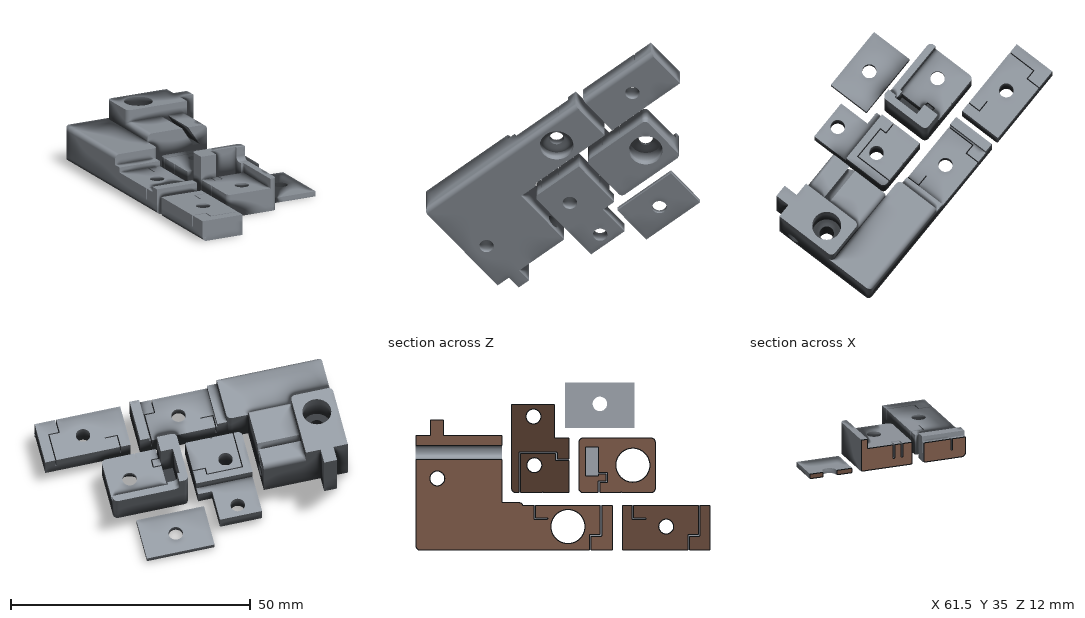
import cadquery as cq
import math

EDGE_RADIUS = 1.0
HOLE_DIA = 3.0
LOWER_BORE_DIA = 7.0
GROOVE_WIDTH = 0.25
GROOVE_FLOOR = 1.95
RAIL_TOP = 4.4
RAIL_DEPTH = 9.5
RAIL_PITCH = 20.5
CUT_MARGIN = 0.6

LOW_LENGTH = 22.45
LOW_DEPTH = 10.0
LOW_TOP = 7.75
BASE_BACK = 24.05
TOWER_LENGTH = 9.0
TOWER_TOP = 12.0
TAB_START = 3.1
TAB_LENGTH = 2.75
TAB_BACK = 27.25
STEP_LENGTH = 18.0
STEP_TOP = 9.5
STEP_BACK_RADIUS = 1.1
BORE_X = 4.5
BORE_Y = 15.0
BORE_DIA = 6.0
BORE_DEPTH = 6.15
CROSS_HOLE_DIA = 2.8
CROSS_HOLE_Y = 20.4
CROSS_HOLE_Z = 2.5
SLOT_FRONT = 18.15
SLOT_OPENING = 1.5
SLOT_DEPTH = 4.0
SLOT_SLANT = 33.0
BASE_LENGTH = 41.0
LIP_LENGTH = 2.0
LIP_TOP = 5.55
RAIL_HOLE_X = 31.75
RAIL_HOLE_Y = 5.0
SEAT_WEB = 1.7

RAIL_START = 43.05
RAIL_END = 61.4
NUB_END = 61.5
NUB_SIZE = 0.75

CLAMP_FRONT = 12.0
CLAMP_BACK = 23.5
CLAMP_TOP = 5.0
LEDGE_Y = 22.0
CLAMP_HOLE_Y = 17.8
NOTCH_DEPTH = 0.2

STEPPED_START = 19.9
STEPPED_END = 32.0
EAR_END = 28.95
EAR_BACK = 30.5
EAR_TOP = 2.95
EAR_HOLE_X = 24.55
EAR_HOLE_Y = 27.9
STEPPED_HOLE_X = 24.7
STEPPED_NOTCH_X = 26.45

WALLED_START = 33.95
WALLED_END = 50.0
WALL_TOP = 9.95
WALL_THICKNESS = 1.55
FOOT_END = 38.05
FOOT_BACK = 15.55
POCKET_BACK = 21.45
SHOULDER_END = 36.0
COVE_RADIUS = 1.0
LEDGE_TOP = 7.1
WALLED_HOLE_X = 45.25
WALLED_WEB = 0.6
WALLED_NOTCH_X = 42.85

COVER_START = 31.2
COVER_LENGTH = 14.5
COVER_BACK = 35.0
COVER_DEPTH = 9.5
COVER_THICKNESS = 1.1
COVER_HOLE_X = 38.45
COVER_HOLE_Y = 30.5


def block(x0, x1, y0, y1, z0, z1):
    return cq.Workplane("XY").box(x1 - x0, y1 - y0, z1 - z0, centered=False).translate((x0, y0, z0))


def vertical_hole(x, y, diameter, bottom, top):
    return cq.Workplane("XY").workplane(offset=bottom).center(x, y).circle(diameter / 2).extrude(top - bottom)


def through_hole(x, y):
    return vertical_hole(x, y, HOLE_DIA, -CUT_MARGIN, TOWER_TOP + CUT_MARGIN)


def groove(path, top):
    """Cutter that follows straight runs along X and Y, with rounded ends and bends."""
    half = GROOVE_WIDTH / 2
    cutter = vertical_hole(*path[0], GROOVE_WIDTH, GROOVE_FLOOR, top)
    for (xa, ya), (xb, yb) in zip(path, path[1:]):
        side_y = half if ya == yb else 0
        side_x = half - side_y
        x0, x1 = sorted((xa, xb))
        y0, y1 = sorted((ya, yb))
        run = block(x0 - side_x, x1 + side_x, y0 - side_y, y1 + side_y, GROOVE_FLOOR, top)
        cutter = cutter.union(run).union(vertical_hole(xb, yb, GROOVE_WIDTH, GROOVE_FLOOR, top))
    return cutter


def front_notch(x):
    """Shallow upright cutter in the front face of a clamp."""
    half = GROOVE_WIDTH / 2
    return block(x - half, x + half, CLAMP_FRONT, CLAMP_FRONT + NOTCH_DEPTH, GROOVE_FLOOR, CLAMP_TOP)


def rail_cuts(shift):
    """Screw hole and the two locating grooves of a rail, moved along X by shift."""
    back = RAIL_DEPTH
    hook_x, hook_y, hook_end = 24.8, 6.65, 27.35
    upper_x, lower_x, jog_y = 38.6, 36.4, 3.15
    hook = [(hook_x, back), (hook_x, hook_y), (hook_end, hook_y)]
    jog = [(upper_x, back), (upper_x, jog_y), (lower_x, jog_y), (lower_x, 0)]
    cuts = through_hole(RAIL_HOLE_X, RAIL_HOLE_Y)
    for path in (hook, jog):
        cuts = cuts.union(groove(path, RAIL_TOP))
    return cuts.translate((shift, 0, 0))


def make_base():
    low = block(0, LOW_LENGTH, 0, LOW_DEPTH, 0, LOW_TOP)
    low = low.edges("|Z and >X and >Y").fillet(EDGE_RADIUS)
    low = low.edges("<Y and (<Z or >Z)").fillet(EDGE_RADIUS)
    rounded_corner = block(0, BASE_LENGTH, 0, LOW_DEPTH, 0, LOW_TOP)
    low = low.intersect(rounded_corner.edges("|Z and <X and <Y").fillet(EDGE_RADIUS))

    seat_start = LOW_LENGTH - EDGE_RADIUS
    seat = block(seat_start, BASE_LENGTH, 0, RAIL_DEPTH, 0, RAIL_TOP)
    seat = seat.union(block(seat_start, LOW_LENGTH + LIP_LENGTH, 0, RAIL_DEPTH, 0, LIP_TOP))
    seat = seat.union(block(BASE_LENGTH - LIP_LENGTH, BASE_LENGTH, 0, RAIL_DEPTH, 0, LIP_TOP))
    seat = seat.edges("<Y and <Z").fillet(EDGE_RADIUS)

    tower = block(0, TOWER_LENGTH, LOW_DEPTH, BASE_BACK, 0, TOWER_TOP).edges("|Z and <Y").fillet(EDGE_RADIUS)
    tab = block(TAB_START, TAB_START + TAB_LENGTH, BASE_BACK, TAB_BACK, 0, TOWER_TOP)

    half_tower = TOWER_LENGTH / 2
    step = block(half_tower, STEP_LENGTH, LOW_DEPTH, BASE_BACK, 0, STEP_TOP)
    step = step.edges("<Y and >Z").fillet(EDGE_RADIUS)
    step = step.edges(">Y and >Z").fillet(STEP_BACK_RADIUS)
    under_tower = block(0, TOWER_LENGTH, LOW_DEPTH, BASE_BACK, 0, LOW_TOP)

    base = low.union(seat).union(under_tower).union(tower).union(step).union(tab)

    bore = vertical_hole(BORE_X, BORE_Y, BORE_DIA, TOWER_TOP - BORE_DEPTH, TOWER_TOP)
    cross_hole = cq.Workplane("YZ").center(CROSS_HOLE_Y, CROSS_HOLE_Z).circle(CROSS_HOLE_DIA / 2)
    cross_hole = cross_hole.extrude(STEP_LENGTH)
    lean = SLOT_DEPTH * math.tan(math.radians(SLOT_SLANT))
    slot_outline = [
        (SLOT_FRONT, STEP_TOP),
        (SLOT_FRONT + SLOT_OPENING, STEP_TOP),
        (SLOT_FRONT + SLOT_OPENING + lean, STEP_TOP - SLOT_DEPTH),
        (SLOT_FRONT + lean, STEP_TOP - SLOT_DEPTH),
    ]
    slot = cq.Workplane("YZ").workplane(offset=TOWER_LENGTH).polyline(slot_outline).close()
    slot = slot.extrude(STEP_LENGTH - TOWER_LENGTH)

    seat_bore = vertical_hole(RAIL_HOLE_X, RAIL_HOLE_Y, LOWER_BORE_DIA, 0, RAIL_TOP - SEAT_WEB)
    for cutter in (bore, through_hole(BORE_X, BORE_Y), cross_hole, slot, seat_bore, rail_cuts(0)):
        base = base.cut(cutter)
    return base


def make_rail():
    rail = block(RAIL_START, NUB_END, 0, RAIL_DEPTH, 0, RAIL_TOP)
    rail = rail.edges("<Y and <Z").fillet(EDGE_RADIUS)
    above_nub = block(RAIL_END, NUB_END, 0, RAIL_DEPTH, NUB_SIZE, RAIL_TOP)
    behind_nub = block(RAIL_END, NUB_END, NUB_SIZE, RAIL_DEPTH, 0, RAIL_TOP)
    return rail.cut(above_nub).cut(behind_nub).cut(rail_cuts(RAIL_PITCH))


def make_stepped_clamp():
    clamp = block(STEPPED_START, STEPPED_END, CLAMP_FRONT, LEDGE_Y, 0, CLAMP_TOP)
    clamp = clamp.edges("|Z and <X and <Y").fillet(EDGE_RADIUS)
    clamp = clamp.union(block(STEPPED_START, STEPPED_END, LEDGE_Y, CLAMP_BACK, 0, EAR_TOP))
    clamp = clamp.union(block(STEPPED_START, EAR_END, CLAMP_BACK, EAR_BACK, 0, EAR_TOP))

    left_x, upper_y, jog_x, lower_y = 21.7, 20.35, 29.35, 18.9
    path = [
        (left_x, CLAMP_FRONT),
        (left_x, upper_y),
        (jog_x, upper_y),
        (jog_x, lower_y),
        (STEPPED_END, lower_y),
    ]
    clamp = clamp.cut(groove(path, CLAMP_TOP)).cut(front_notch(STEPPED_NOTCH_X))
    clamp = clamp.cut(through_hole(STEPPED_HOLE_X, CLAMP_HOLE_Y))
    return clamp.cut(through_hole(EAR_HOLE_X, EAR_HOLE_Y))


def make_walled_clamp():
    wall_end = WALLED_START + WALL_THICKNESS
    floor = block(WALLED_START, WALLED_END, CLAMP_FRONT, CLAMP_BACK, 0, CLAMP_TOP)
    ledge = block(wall_end, WALLED_END, LEDGE_Y, CLAMP_BACK, 0, LEDGE_TOP)
    ledge_pad = block(wall_end, FOOT_END, POCKET_BACK, CLAMP_BACK, 0, LEDGE_TOP)
    wall = block(WALLED_START, wall_end, CLAMP_FRONT, CLAMP_BACK, 0, WALL_TOP)
    foot = block(WALLED_START, FOOT_END, CLAMP_FRONT, FOOT_BACK, 0, WALL_TOP)
    shoulder = block(WALLED_START, SHOULDER_END, POCKET_BACK, CLAMP_BACK, 0, WALL_TOP)
    cove_end, cove_top = SHOULDER_END + COVE_RADIUS, LEDGE_TOP + COVE_RADIUS
    cove = block(SHOULDER_END, cove_end, POCKET_BACK, CLAMP_BACK, LEDGE_TOP, cove_top)
    cove_cutter = cq.Workplane("XZ", origin=(0, CLAMP_BACK, 0)).center(cove_end, cove_top).circle(COVE_RADIUS)
    cove = cove.cut(cove_cutter.extrude(CLAMP_BACK - POCKET_BACK))

    clamp = floor
    for piece in (ledge, ledge_pad, wall, foot, shoulder, cove):
        clamp = clamp.union(piece)
    clamp = clamp.edges("|Z and (<X or >X) and (<Y or >Y)").fillet(EDGE_RADIUS)

    pocket = block(wall_end, FOOT_END, FOOT_BACK, POCKET_BACK, GROOVE_FLOOR, CLAMP_TOP)
    bore = vertical_hole(WALLED_HOLE_X, CLAMP_HOLE_Y, LOWER_BORE_DIA, 0, CLAMP_TOP - WALLED_WEB)
    groove_x = FOOT_END + GROOVE_WIDTH / 2
    loop_back, loop_x, loop_front = 16.1, 39.8, 14.3
    path = [
        (groove_x, loop_back),
        (loop_x, loop_back),
        (loop_x, loop_front),
        (groove_x, loop_front),
        (groove_x, CLAMP_FRONT),
    ]
    opening = block(FOOT_END, groove_x, loop_back - GROOVE_WIDTH / 2, loop_back + GROOVE_WIDTH / 2,
                    GROOVE_FLOOR, CLAMP_TOP)
    cutters = [pocket, bore, groove(path, CLAMP_TOP), opening, front_notch(WALLED_NOTCH_X)]
    for cutter in cutters + [through_hole(WALLED_HOLE_X, CLAMP_HOLE_Y)]:
        clamp = clamp.cut(cutter)
    return clamp


def make_cover():
    cover_end = COVER_START + COVER_LENGTH
    cover = block(COVER_START, cover_end, COVER_BACK - COVER_DEPTH, COVER_BACK, 0, COVER_THICKNESS)
    return cover.cut(through_hole(COVER_HOLE_X, COVER_HOLE_Y))


base = make_base()
rail = make_rail()
stepped_clamp = make_stepped_clamp()
walled_clamp = make_walled_clamp()
cover = make_cover()

result = cq.Compound.makeCompound(
    [base.val(), rail.val(), stepped_clamp.val(), walled_clamp.val(), cover.val()]
)